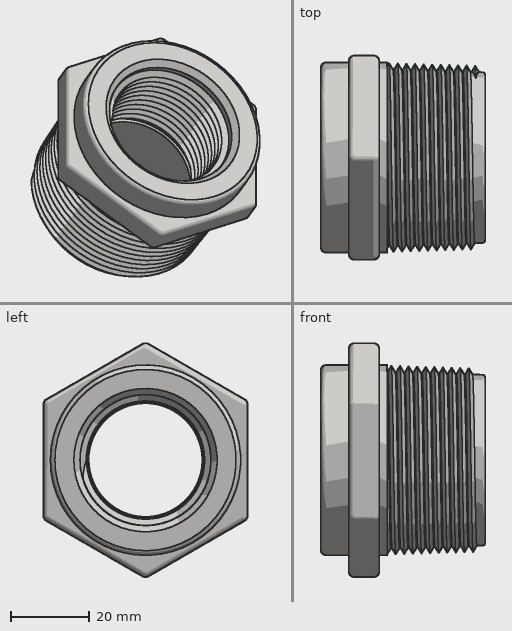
import cadquery as cq
import math

total_length = 42.15
collar_diameter = 48.75
collar_length = 17.0
collar_round = 1.4

hex_flats = 52.35
hex_start = 7.15
hex_length = 7.9
hex_round = 1.55

outer_thread_start = 15.35
outer_thread_end = 39.55
outer_turns = 11
outer_fade_angle = 23
spigot_end_radius = 21.9
spigot_end_round = 0.8

pitch = (outer_thread_end - outer_thread_start) / outer_turns
ridge_width = 2.05
ridge_height = 1.55
taper = 1 / 32
base_sink = 0.1
fade_steps = 4
fade_tip_width = 0.1
fade_tip_height = 0.05

mouth_diameter = 36.7
inner_root_radius = 16.8
mouth_chamfer = mouth_diameter / 2 - inner_root_radius
inner_thread_start = 3.3
inner_turns = 10
inner_fade_angle = 18
thread_bore_end = 26.5
bore_diameter = 30.2


def spigot_radius(x):
    """Radius of the cone under the outer thread."""
    return spigot_end_radius + taper * (total_length - x)


def thread_bore_radius(x):
    """Radius of the cone behind the inner thread."""
    return inner_root_radius - taper * (x - mouth_chamfer)


def helix(x, radius, turns):
    """Right-hand tapered helix that starts at +Y and advances along +X."""
    cone_angle = math.atan(taper)
    slant_pitch = pitch / math.cos(cone_angle)
    wire = cq.Wire.makeHelix(slant_pitch, turns * slant_pitch, radius, angle=-math.degrees(cone_angle))
    wire = wire.rotate(cq.Vector(0, 0, 0), cq.Vector(1, 1, 1), 120)
    return wire.translate(cq.Vector(x, 0, 0))


def ridge_section(x, angle, base_radius, height, width):
    """Triangle in the plane through the X axis at an angle from +Y."""
    half = width / 2
    corners = [(x - half, base_radius), (x + half, base_radius), (x, base_radius + height)]
    turn = math.radians(angle)
    points = [cq.Vector(px, r * math.cos(turn), r * math.sin(turn)) for px, r in corners]
    return cq.Wire.makePolygon(points, close=True)


def ridge(x, root_radius, turns, outward):
    """Helical V ridge; outward is 1 on a shaft and -1 in a bore."""
    half = ridge_width / 2
    base_radius = root_radius - outward * base_sink
    height = outward * (ridge_height + base_sink)
    left = helix(x - half, base_radius, turns)
    right = helix(x + half, base_radius, turns)
    crest = helix(x, base_radius + height, turns)
    sides = [
        cq.Face.makeRuledSurface(left, crest),
        cq.Face.makeRuledSurface(crest, right),
        cq.Face.makeRuledSurface(right, left),
    ]
    faces = [face for side in sides for face in side.Faces()]
    length = turns * pitch
    first = ridge_section(x, 0, base_radius, height, ridge_width)
    last = ridge_section(x + length, 0, base_radius - taper * length, height, ridge_width)
    faces += [cq.Face.makeFromWires(first), cq.Face.makeFromWires(last)]
    solid = cq.Solid.makeSolid(cq.Shell.makeShell(faces))
    return solid.fix()


def fade(x, root_radius, angle, outward):
    """Run-out that narrows the ridge from +Y and sinks it into its cone."""
    sections = []
    for step in range(fade_steps + 1):
        part = step / fade_steps
        turn = part * angle
        base_radius = root_radius - outward * base_sink
        height = outward * ((ridge_height + base_sink) * (1 - part) + fade_tip_height * part)
        width = ridge_width * (1 - part) + fade_tip_width * part
        sections.append(ridge_section(x + pitch * turn / 360, turn, base_radius, height, width))
    return cq.Solid.makeLoft(sections)


def make_collar():
    collar = cq.Workplane("YZ").circle(collar_diameter / 2).extrude(collar_length)
    return collar.faces("<X").edges().fillet(collar_round)


def make_hex():
    corner_diameter = hex_flats / math.cos(math.pi / 6)
    plate = cq.Workplane("YZ", origin=(hex_start, 0, 0)).transformed(rotate=(0, 0, 90))
    return plate.polygon(6, corner_diameter).extrude(hex_length).edges().fillet(hex_round)


def make_spigot():
    outline = [
        (0, 0),
        (0, spigot_radius(0)),
        (total_length, spigot_end_radius),
        (total_length, 0),
    ]
    spigot = cq.Workplane("XY").polyline(outline).close().revolve(360, (0, 0, 0), (1, 0, 0))
    return spigot.faces(">X").edges().fillet(spigot_end_round)


def make_bore():
    outline = [
        (0, 0),
        (0, mouth_diameter / 2),
        (mouth_chamfer, inner_root_radius),
        (thread_bore_end, thread_bore_radius(thread_bore_end)),
        (thread_bore_end, bore_diameter / 2),
        (total_length, bore_diameter / 2),
        (total_length, 0),
    ]
    return cq.Workplane("XY").polyline(outline).close().revolve(360, (0, 0, 0), (1, 0, 0))


threads = [
    ridge(outer_thread_start, spigot_radius(outer_thread_start), outer_turns, 1),
    fade(outer_thread_end, spigot_radius(outer_thread_end), outer_fade_angle, 1),
    ridge(inner_thread_start, thread_bore_radius(inner_thread_start), inner_turns, -1),
    fade(inner_thread_start, thread_bore_radius(inner_thread_start), -inner_fade_angle, -1),
]

body = make_collar().union(make_hex()).union(make_spigot()).cut(make_bore())
for thread in threads:
    body = body.union(cq.Workplane(thread))
result = body